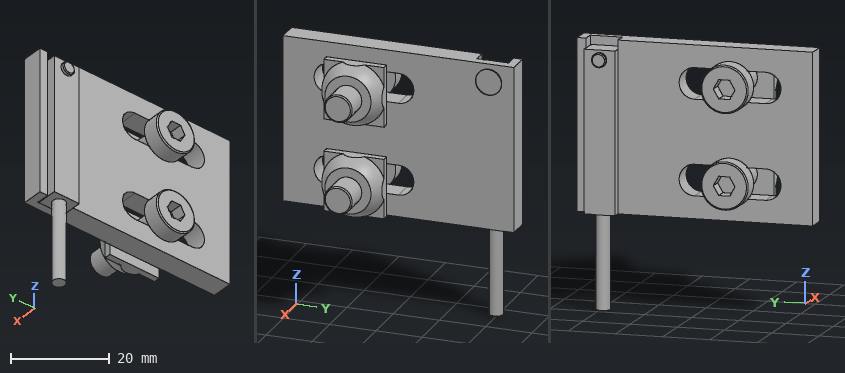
import cadquery as cq
import math

PLATE_THICKNESS = 5.0
PLATE_WIDTH = 50.0
PLATE_HEIGHT = 36.0

SLOT_WIDTH = 6.5
SLOT_TRAVEL = 15.0
SLOT_Y = 17.5
BOLT_SPACING = 20.0
UPPER_BOLT_DROP = 8.0
UPPER_BOLT_Z = PLATE_HEIGHT - UPPER_BOLT_DROP
BOLT_HEIGHTS = [UPPER_BOLT_Z - BOLT_SPACING, UPPER_BOLT_Z]

HEAD_DIAMETER = 10.0
HEAD_LENGTH = 4.05
SHANK_DIAMETER = 6.0
SHANK_LENGTH = 20.0
BOLT_CHAMFER = 0.3
SOCKET_FLATS = 4.0
SOCKET_CORNERS = SOCKET_FLATS / math.cos(math.pi / 6)
SOCKET_DEPTH = 3.0

NUT_SIDE = 13.0
NUT_THICKNESS = 5.0
NUT_FLANGE = 1.5
NUT_GAP = 4.2
NUT_X = PLATE_THICKNESS + NUT_GAP
NUT_END_RADIUS = 5.0
NUT_DOME_RADIUS = math.hypot(NUT_THICKNESS, NUT_END_RADIUS)

GROOVE_RIM = 2.0
GROOVE_WIDTH = 6.7
GROOVE_DEPTH = 3.0
GROOVE_Y = PLATE_WIDTH - GROOVE_RIM - GROOVE_WIDTH
SENSOR_CLEARANCE = 0.15
SENSOR_WIDTH = GROOVE_WIDTH - SENSOR_CLEARANCE
SENSOR_PROUD = 1.9
SENSOR_THICKNESS = GROOVE_DEPTH + SENSOR_PROUD
SENSOR_DROP = 1.9
SENSOR_HEIGHT = PLATE_HEIGHT - SENSOR_DROP
SENSOR_Y = GROOVE_Y + SENSOR_WIDTH / 2
CABLE_DIAMETER = 3.0
CABLE_LENGTH = 20.0

SCREW_DIAMETER = 3.0
SCREW_HEAD_DIAMETER = 5.6
SCREW_HEAD_PROUD = 0.2
SCREW_TIP_PROUD = 0.85
SCREW_CHAMFER = 0.2
SCREW_DROP = 2.0
SCREW_Z = SENSOR_HEIGHT - SCREW_DROP


def rod(x_start, x_end, diameter, y, z):
    """Cylinder along X between two X positions."""
    return cq.Workplane("YZ", origin=(x_start, y, z)).circle(diameter / 2).extrude(x_end - x_start)


def make_bolt(z):
    """Socket-head bolt whose head rests on the front face of the plate."""
    head = rod(-HEAD_LENGTH, 0, HEAD_DIAMETER, SLOT_Y, z).faces("<X").edges().chamfer(BOLT_CHAMFER)
    shank = rod(0, SHANK_LENGTH, SHANK_DIAMETER, SLOT_Y, z).faces(">X").edges().chamfer(BOLT_CHAMFER)
    socket = (
        cq.Workplane("YZ", origin=(-HEAD_LENGTH, SLOT_Y, z))
        .polygon(6, SOCKET_CORNERS)
        .extrude(SOCKET_DEPTH)
    )
    return head.union(shank).cut(socket)


def make_nut(z):
    """Square nut: full square in the flange, trimmed to a dome behind it, bored for the bolt."""
    nut_end = NUT_X + NUT_THICKNESS
    face = cq.Workplane("YZ", origin=(NUT_X, SLOT_Y, z))
    flange = face.rect(NUT_SIDE, NUT_SIDE).extrude(NUT_FLANGE)
    square = face.rect(NUT_SIDE, NUT_SIDE).extrude(NUT_THICKNESS)
    mid_angle = math.acos(NUT_THICKNESS / NUT_DOME_RADIUS) / 2 + math.pi / 4
    dome = (
        cq.Workplane("XY", origin=(NUT_X, SLOT_Y, z))
        .moveTo(0, 0)
        .lineTo(0, NUT_DOME_RADIUS)
        .threePointArc(
            (NUT_DOME_RADIUS * math.cos(mid_angle), NUT_DOME_RADIUS * math.sin(mid_angle)),
            (NUT_THICKNESS, NUT_END_RADIUS),
        )
        .lineTo(NUT_THICKNESS, 0)
        .close()
        .revolve(360, (0, 0), (1, 0))
    )
    bore = rod(NUT_X, nut_end, SHANK_DIAMETER, SLOT_Y, z)
    return square.intersect(dome).union(flange).cut(bore)


def make_screw():
    """Screw with a conical 90 degree head that stands slightly proud of the plate back."""
    shank_radius = SCREW_DIAMETER / 2
    head_radius = SCREW_HEAD_DIAMETER / 2
    tip_x = -SENSOR_PROUD - SCREW_TIP_PROUD
    cone_x = PLATE_THICKNESS - (head_radius - shank_radius)
    head_x = PLATE_THICKNESS + SCREW_HEAD_PROUD
    profile = [
        (tip_x, 0),
        (tip_x, shank_radius - SCREW_CHAMFER),
        (tip_x + SCREW_CHAMFER, shank_radius),
        (cone_x, shank_radius),
        (PLATE_THICKNESS, head_radius),
        (head_x, head_radius),
        (head_x, 0),
    ]
    axis_point = (0, SENSOR_Y, SCREW_Z)
    return cq.Workplane("XY", origin=axis_point).polyline(profile).close().revolve(360, (0, 0), (1, 0))


def make_sensor(screw):
    """Sensor block with its cable leaving the lower end."""
    block = cq.Workplane("XY").box(
        SENSOR_THICKNESS, SENSOR_WIDTH, SENSOR_HEIGHT, centered=(False, True, False)
    )
    block = block.translate((-SENSOR_PROUD, SENSOR_Y, 0))
    cable_x = SENSOR_THICKNESS / 2 - SENSOR_PROUD
    cable = (
        cq.Workplane("XY", origin=(cable_x, SENSOR_Y, 0))
        .circle(CABLE_DIAMETER / 2)
        .extrude(-CABLE_LENGTH)
    )
    return block.union(cable).cut(screw)


def make_plate(screw):
    """Plate with two slots, an open-ended sensor groove and a countersunk screw hole."""
    plate = cq.Workplane("XY").box(PLATE_THICKNESS, PLATE_WIDTH, PLATE_HEIGHT, centered=False)
    slots = (
        cq.Workplane("YZ")
        .pushPoints([(SLOT_Y, z) for z in BOLT_HEIGHTS])
        .slot2D(SLOT_TRAVEL + SLOT_WIDTH, SLOT_WIDTH)
        .extrude(PLATE_THICKNESS)
    )
    groove = cq.Workplane("XY").box(GROOVE_DEPTH, GROOVE_WIDTH, PLATE_HEIGHT, centered=False)
    return plate.cut(slots).cut(groove.translate((0, GROOVE_Y, 0))).cut(screw)


screw = make_screw()
sensor = make_sensor(screw)
plate = make_plate(screw)
bolts = [make_bolt(z).val() for z in BOLT_HEIGHTS]
nuts = [make_nut(z).val() for z in BOLT_HEIGHTS]

result = cq.Compound.makeCompound([plate.val(), sensor.val(), screw.val(), *bolts, *nuts])